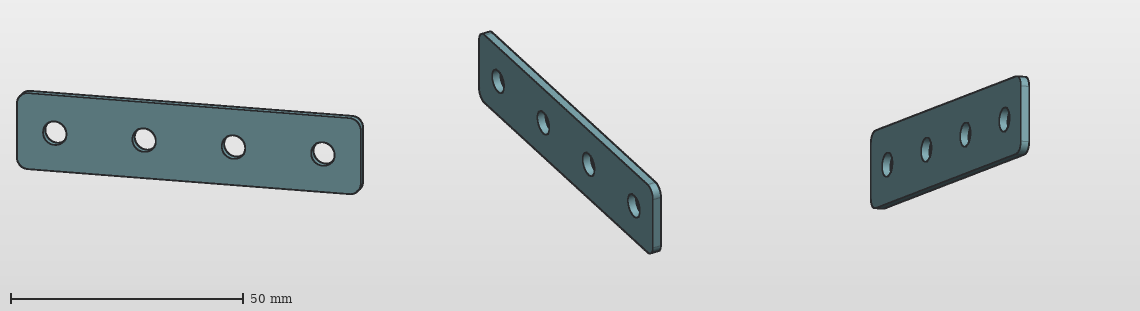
import cadquery as cq

length = 77.0
thickness = 2.0
height = 17.0
corner_radius = 2.5

hole_count = 4
hole_pitch = 20.0
hole_diameter = 5.2


def make_bar():
    """Bar with its four corners rounded through the thickness."""
    return cq.Workplane("XY").box(length, thickness, height).edges("|Y").fillet(corner_radius)


def drill_holes(bar):
    """Evenly spaced holes along the middle of the front face."""
    return (
        bar.faces("<Y")
        .workplane(centerOption="CenterOfBoundBox")
        .rarray(hole_pitch, 0.8, hole_count, 1)
        .hole(hole_diameter)
    )


result = drill_holes(make_bar())